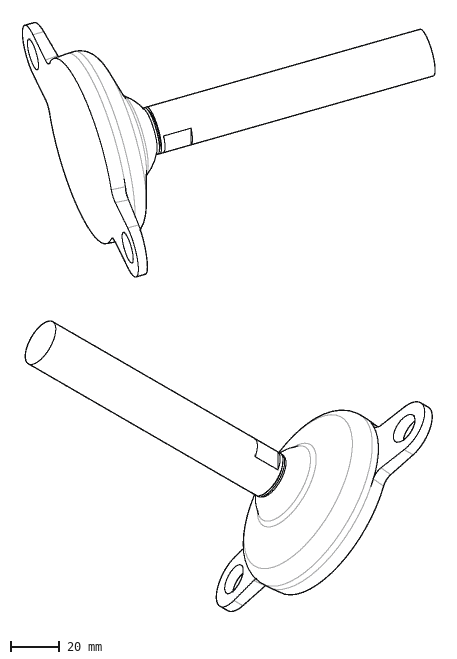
import cadquery as cq
import math


total_height = 151.5
rim_height = 6.0
band_top = 9.0
stem_flange_bottom = 30.0
groove_bottom = 30.9
groove_top = 31.8
flat_bottom = 33.3
flat_length = 12.0

disc_radius = 40.0
rim_taper = math.radians(5)
sole_radius = disc_radius - rim_height * math.tan(rim_taper)
shoulder_radius = 7.2
cone_slope = math.radians(20.5)
dome_radius = 21.0
dome_seat_radius = 9.7
cone_dome_blend = 4.0

lug_end_radius = 12.5
lug_length = 68.0
lug_tip_thickness = 4.0
lug_top_slope = math.radians(3.5)
lug_hole_diameter = 13.0
lug_root_fillet = 5.0
lug_center = lug_length - lug_end_radius

stem_radius = 10.0
groove_radius = 8.5
across_flats = 17.0


def foot_disc():
    """Revolved foot: tapered rim, straight band, round shoulder, cone and spherical dome."""
    shoulder_center_r = disc_radius - shoulder_radius

    def shoulder_point(angle):
        return (
            shoulder_center_r + shoulder_radius * math.cos(angle),
            band_top + shoulder_radius * math.sin(angle),
        )

    shoulder_sweep = math.pi / 2 - cone_slope
    shoulder_mid = shoulder_point(shoulder_sweep / 2)
    shoulder_end = shoulder_point(shoulder_sweep)

    seat_angle = math.acos(dome_seat_radius / dome_radius)
    dome_center = stem_flange_bottom - dome_radius * math.sin(seat_angle)

    normal_r = math.sin(cone_slope)
    normal_y = math.cos(cone_slope)
    blend_line_offset = shoulder_end[0] * normal_r + shoulder_end[1] * normal_y + cone_dome_blend
    center_offset = blend_line_offset - dome_center * normal_y
    along_cone = math.sqrt((dome_radius + cone_dome_blend) ** 2 - center_offset ** 2)
    blend_r = center_offset * normal_r + along_cone * normal_y
    blend_y = dome_center + center_offset * normal_y - along_cone * normal_r
    blend_start = (blend_r - cone_dome_blend * normal_r, blend_y - cone_dome_blend * normal_y)
    dome_start_angle = math.atan2(blend_y - dome_center, blend_r)

    def dome_point(angle):
        return (dome_radius * math.cos(angle), dome_center + dome_radius * math.sin(angle))

    blend_mid_angle = (math.pi / 2 - cone_slope + dome_start_angle) / 2 + math.pi
    blend_mid = (
        blend_r + cone_dome_blend * math.cos(blend_mid_angle),
        blend_y + cone_dome_blend * math.sin(blend_mid_angle),
    )

    profile = (
        cq.Workplane("XY")
        .lineTo(sole_radius, 0)
        .lineTo(disc_radius, rim_height)
        .lineTo(disc_radius, band_top)
        .threePointArc(shoulder_mid, shoulder_end)
        .lineTo(*blend_start)
        .threePointArc(blend_mid, dome_point(dome_start_angle))
        .threePointArc(dome_point((dome_start_angle + seat_angle) / 2), dome_point(seat_angle))
        .lineTo(0, stem_flange_bottom)
        .close()
    )
    return profile.revolve(360, (0, 0, 0), (0, 1, 0))


def lug_plate():
    """Round-ended bar blended into the tapered rim; its top thins towards both tips."""
    rim = cq.Workplane("XZ").circle(sole_radius).workplane(offset=-rim_height).circle(disc_radius).loft()
    bar = cq.Workplane("XZ").slot2D(2 * lug_length, 2 * lug_end_radius).extrude(-rim_height)
    plate = rim.union(bar)

    mid_rim_radius = (sole_radius + disc_radius) / 2
    corner_x = math.sqrt(mid_rim_radius ** 2 - lug_end_radius ** 2)
    corners = cq.Workplane("XY")
    for side_x in (-1, 1):
        for side_z in (-1, 1):
            corner = cq.Vector(side_x * corner_x, rim_height / 2, side_z * lug_end_radius)
            corners = corners.add(plate.edges(cq.selectors.NearestToPointSelector(corner.toTuple())))
    plate = plate.newObject(corners.vals()).fillet(lug_root_fillet)

    ridge_height = lug_tip_thickness + lug_length * math.tan(lug_top_slope)
    wedge = (
        cq.Workplane("XY")
        .moveTo(-lug_length, 0)
        .lineTo(lug_length, 0)
        .lineTo(lug_length, lug_tip_thickness)
        .lineTo(0, ridge_height)
        .lineTo(-lug_length, lug_tip_thickness)
        .close()
        .extrude(disc_radius, both=True)
    )
    return plate.intersect(wedge)


def build_foot():
    """Disc with its two lugs, each drilled for a fixing screw."""
    holes = (
        cq.Workplane("XZ")
        .pushPoints([(-lug_center, 0), (lug_center, 0)])
        .circle(lug_hole_diameter / 2)
        .extrude(-rim_height)
    )
    return foot_disc().union(lug_plate()).cut(holes)


def build_stem():
    """Rod with a run-out groove above its small tapered flange and two wrench flats."""
    rod = (
        cq.Workplane("XY")
        .moveTo(0, stem_flange_bottom)
        .lineTo(dome_seat_radius, stem_flange_bottom)
        .lineTo(stem_radius, groove_bottom)
        .lineTo(groove_radius, groove_bottom)
        .lineTo(groove_radius, groove_top)
        .lineTo(stem_radius, groove_top)
        .lineTo(stem_radius, total_height)
        .lineTo(0, total_height)
        .close()
        .revolve(360, (0, 0, 0), (0, 1, 0))
    )
    for side_x in (-1, 1):
        flat_cut = cq.Workplane("XY").box(stem_radius, flat_length, 2 * stem_radius).translate(
            (side_x * (across_flats + stem_radius) / 2, flat_bottom + flat_length / 2, 0)
        )
        rod = rod.cut(flat_cut)
    return rod


foot = build_foot()
stem = build_stem()

result = cq.Compound.makeCompound([foot.solids().val(), stem.solids().val()])